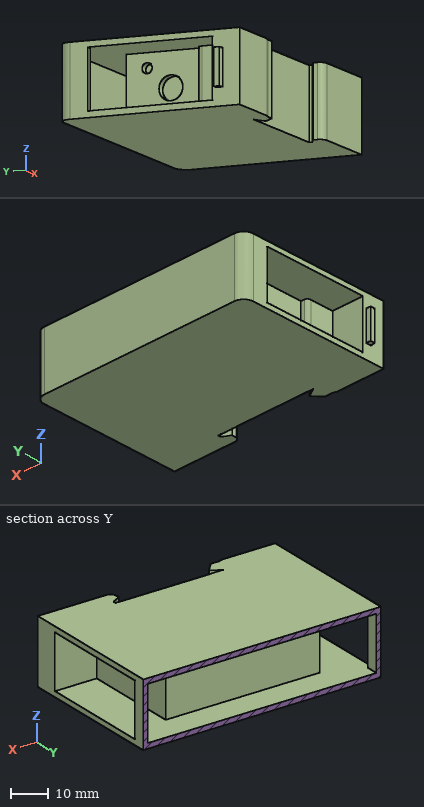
import cadquery as cq

overall_length = 79.6
latch_projection = 1.7
length = overall_length - latch_projection
depth = 53.5
height = 21.0
corner_radius = 3.6

recess_depth = 5.5
hook_root_x = 20.9
hook_tip_x = 24.3
hook_tip_y = 3.5
hook_base_x = 21.7
hook_relief = 0.4
hook_chamfer = 0.2
relief_start_x = 17.35
relief_end_x = 18.7
fixed_jaw_x = 53.5
fixed_jaw_top_y = 3.1
fixed_jaw_radius = 1.9
pocket_end_x = 56.3
pocket_lip_y = 4.6

wall = 1.8
end_wall = 1.5
window_bottom_y = 8.0
window_top_y = 44.6
chamber_top_y = 52.4
chamber_length = 13.7
channel_bottom_y = 39.65
inner_z = (wall, height - wall)

shoulder_top_y = 17.6
shoulder_projection = 2.4
shoulder_radius = 1.2

blind_hole_depth = 2.4
blind_holes = [(33.5, 15.0, 2.95), (26.5, 9.1, 7.0)]

latch_width = 10.7
latch_bottom_y = 4.9
latch_top_y = 6.8
latch_taper = 0.2


def box_between(x_range, y_range, z_range):
    """Box spanning the given (low, high) range along each axis."""
    (x0, x1), (y0, y1), (z0, z1) = x_range, y_range, z_range
    return cq.Workplane("XY").box(x1 - x0, y1 - y0, z1 - z0, centered=False).translate((x0, y0, z0))


def make_housing():
    block = box_between((0, length), (0, depth), (0, height))
    return block.edges("|Z and >Y").fillet(corner_radius)


def make_rail_recess():
    return (
        cq.Workplane("XY")
        .moveTo(relief_start_x, 0)
        .lineTo(relief_end_x, hook_relief)
        .lineTo(hook_base_x - hook_chamfer, hook_relief)
        .lineTo(hook_base_x, hook_relief + hook_chamfer)
        .lineTo(hook_tip_x, hook_tip_y)
        .lineTo(hook_root_x, recess_depth)
        .lineTo(pocket_end_x, recess_depth)
        .lineTo(pocket_end_x, pocket_lip_y)
        .lineTo(fixed_jaw_x, fixed_jaw_top_y)
        .lineTo(fixed_jaw_x, fixed_jaw_radius)
        .radiusArc((fixed_jaw_x + fixed_jaw_radius, 0), -fixed_jaw_radius)
        .close()
        .extrude(height)
    )


def make_cavity():
    """Channel along the far side, joined at both ends by a chamber that opens through the end wall."""
    window_y = (window_bottom_y, window_top_y)
    channel = box_between((end_wall, length - end_wall), (channel_bottom_y, chamber_top_y), inner_z)
    near_end = box_between((0, chamber_length), window_y, inner_z)
    far_end = box_between((length - chamber_length, length), window_y, inner_z)
    return channel.union(near_end).union(far_end)


def make_shoulder():
    shoulder = box_between(
        (chamber_length - shoulder_projection, chamber_length),
        (window_bottom_y, shoulder_top_y),
        inner_z,
    )
    return shoulder.edges("|Z and <X and >Y").fillet(shoulder_radius)


def make_blind_hole(y, z, diameter):
    face = cq.Workplane("YZ", origin=(chamber_length, y, z))
    return face.circle(diameter / 2).extrude(blind_hole_depth)


def make_latch():
    """Tab whose rail-side face tapers slightly towards the tip."""
    return (
        cq.Workplane("XY", origin=(0, 0, (height - latch_width) / 2))
        .moveTo(0, latch_bottom_y)
        .lineTo(-latch_projection, latch_bottom_y + latch_taper)
        .lineTo(-latch_projection, latch_top_y)
        .lineTo(0, latch_top_y)
        .close()
        .extrude(latch_width)
    )


result = make_housing().cut(make_rail_recess()).cut(make_cavity()).union(make_shoulder())
for hole_y, hole_z, hole_diameter in blind_holes:
    result = result.cut(make_blind_hole(hole_y, hole_z, hole_diameter))
result = result.union(make_latch())